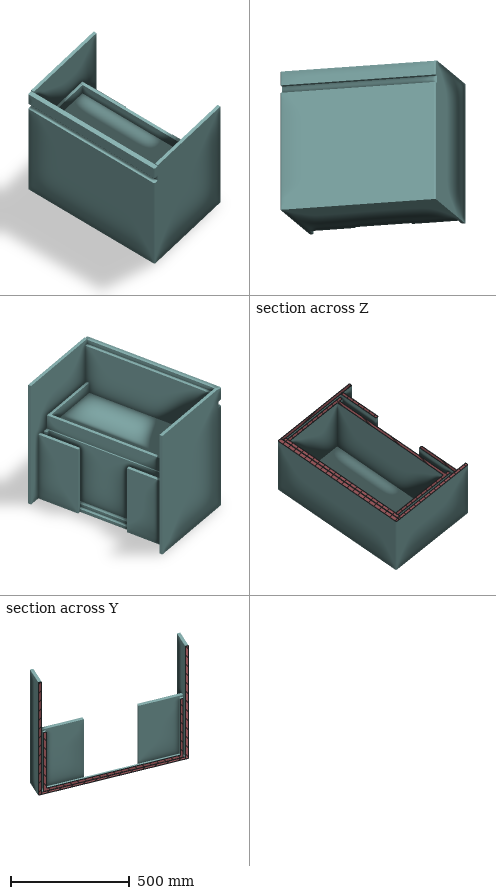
import cadquery as cq

WIDTH = 682.0
DEPTH = 446.0
HEIGHT = 606.0
BOARD = 15.0

FRONT_THICKNESS = 22.0
FRONT_EDGE_RADIUS = 6.0
DOOR_TOP = 509.0
RAIL_BOTTOM = 541.0
RAIL_TOP = 601.0

MOUNT_WIDTH = 202.0
MOUNT_INSET = 54.5
MOUNT_HEIGHT = 327.5

BASE_FRONT_HEIGHT = 580.0
BASE_BACK = DEPTH - MOUNT_INSET - BOARD
BASE_INNER_FRONT = FRONT_THICKNESS + BOARD
BASE_WIDTH = WIDTH - 2 * BOARD

DRAWER_SIDE_GAP = 8.0
DRAWER_BACK_GAP = 14.0
LOWER_BACK_INSET = 17.0
TRAY_BACK_INSET = 23.0
TRAY_SIDE_WALL = 12.0
TRAY_TOP = 399.0
TRAY_DEPTH = 53.0
TRAY_BACK_WALL = 14.0
TRAY_SIDE_DROP = 1.5
DRAWER_X = BOARD + DRAWER_SIDE_GAP
DRAWER_WIDTH = WIDTH - 2 * DRAWER_X
DRAWER_BACK = BASE_BACK - DRAWER_BACK_GAP
TRAY_FLOOR = TRAY_TOP - TRAY_DEPTH
TRAY_BOTTOM = TRAY_FLOOR - BOARD


def board(x, y, z, width, depth, height):
    """A plain board with its left, front, bottom corner at (x, y, z)."""
    return cq.Workplane("XY").box(width, depth, height, centered=False).translate((x, y, z))


def front_panel(bottom, top):
    """A full-width front with its two upright outer edges rounded."""
    panel = board(0, 0, bottom, WIDTH, FRONT_THICKNESS, top - bottom)
    return panel.edges("|Z and <Y").fillet(FRONT_EDGE_RADIUS)


def side_panel(x):
    """A cabinet side standing behind the fronts."""
    return board(x, FRONT_THICKNESS, 0, BOARD, DEPTH - FRONT_THICKNESS, HEIGHT)


def mounting_board(x):
    """A short upright board behind the base, against one cabinet side."""
    return board(x, BASE_BACK, 0, MOUNT_WIDTH, BOARD, MOUNT_HEIGHT)


def make_base():
    """Bottom board joined to the upright board behind the fronts."""
    bottom = board(BOARD, FRONT_THICKNESS, 0, BASE_WIDTH, BASE_BACK - FRONT_THICKNESS, BOARD)
    upright = board(BOARD, FRONT_THICKNESS, 0, BASE_WIDTH, BOARD, BASE_FRONT_HEIGHT)
    return bottom.union(upright)


def make_tray():
    """Shallow tray with side and back walls, open towards the base upright."""
    depth = DRAWER_BACK - TRAY_BACK_INSET - BASE_INNER_FRONT
    inner_depth = depth - TRAY_BACK_WALL
    block = board(DRAWER_X, BASE_INNER_FRONT, TRAY_BOTTOM, DRAWER_WIDTH, depth, TRAY_TOP - TRAY_BOTTOM)
    pocket_width = DRAWER_WIDTH - 2 * TRAY_SIDE_WALL
    pocket = board(
        DRAWER_X + TRAY_SIDE_WALL, BASE_INNER_FRONT, TRAY_FLOOR, pocket_width, inner_depth, TRAY_DEPTH
    )
    side_trim = board(
        DRAWER_X, BASE_INNER_FRONT, TRAY_TOP - TRAY_SIDE_DROP, DRAWER_WIDTH, inner_depth, TRAY_SIDE_DROP
    )
    return block.cut(pocket).cut(side_trim)


def make_drawer():
    """Tray carried by a lower box of two sides, a bottom and a back board between them."""
    drawer = make_tray()
    lower_height = TRAY_BOTTOM - BOARD
    side_depth = DRAWER_BACK - BASE_INNER_FRONT
    drawer = drawer.union(board(DRAWER_X, BASE_INNER_FRONT, BOARD, DRAWER_WIDTH, side_depth, BOARD))
    for x in (DRAWER_X, DRAWER_X + DRAWER_WIDTH - BOARD):
        drawer = drawer.union(board(x, BASE_INNER_FRONT, BOARD, BOARD, side_depth, lower_height))
    back_y = DRAWER_BACK - LOWER_BACK_INSET - BOARD
    return drawer.union(board(DRAWER_X, back_y, BOARD, DRAWER_WIDTH, BOARD, lower_height))


door = front_panel(0, DOOR_TOP)
upper_rail = front_panel(RAIL_BOTTOM, RAIL_TOP)
sides = [side_panel(x) for x in (0, WIDTH - BOARD)]
mounting_boards = [mounting_board(x) for x in (BOARD, WIDTH - BOARD - MOUNT_WIDTH)]
base = make_base()
drawer = make_drawer()

result = cq.Compound.makeCompound([
    door.val(),
    upper_rail.val(),
    *[side.val() for side in sides],
    *[mount.val() for mount in mounting_boards],
    base.val(),
    drawer.val(),
])